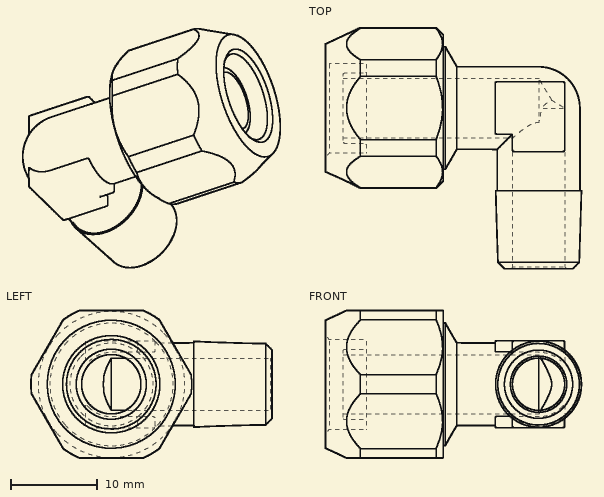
import cadquery as cq
import math


tube_radius = 4.77
pad_reach = 5.0
pad_short_reach = 3.0
pad_rounding = 0.2
drill_point_angle = 118.0

across_flats = 17.0
nut_corner_radius = 9.25
nut_front_x = -24.5
nut_length = 13.55
nut_front_radius = 7.35
nut_front_taper_length = 4.03
nut_rear_radius = 8.42
nut_rear_x = nut_front_x + nut_length

collar_radius = 7.07
collar_width = 0.25
collar_taper_angle = 60.0

socket_radius = 5.15
socket_chamfer = 0.45
socket_depth = 4.7
stub_radius = 4.03
stub_recess = 1.97
stub_root_fillet = 0.3
stub_end_rounding = 0.25
nut_side_bore_radius = 3.42

thread_start_y = -9.48
thread_end_y = -18.5
thread_start_radius = 4.95
thread_taper = 1 / 32
thread_end_chamfer = 0.77
thread_side_bore_radius = 3.0
bore_mouth_chamfer = 0.25


def revolve_about_x(profile):
    """Turn a closed (x, radius) outline about the X axis."""
    return cq.Workplane("XY").polyline(profile).close().revolve(360, (0, 0, 0), (1, 0, 0))


def revolve_about_y(profile):
    """Turn a closed (radius, y) outline about the Y axis."""
    return cq.Workplane("XY").polyline(profile).close().revolve(360, (0, 0, 0), (0, 1, 0))


def make_elbow():
    """Two tubes meeting in a spherical outer corner, with a collar behind the nut."""
    collar_end_x = nut_rear_x + collar_width
    taper_length = (collar_radius - tube_radius) / math.tan(math.radians(collar_taper_angle))
    taper_end_x = collar_end_x + taper_length
    nut_arm = revolve_about_x([
        (nut_rear_x, 0),
        (nut_rear_x, collar_radius),
        (collar_end_x, collar_radius),
        (taper_end_x, tube_radius),
        (0, tube_radius),
        (0, 0),
    ])
    thread_arm = cq.Workplane("XZ").circle(tube_radius).extrude(-thread_start_y)
    corner = cq.Workplane("XY").sphere(tube_radius)
    return nut_arm.union(thread_arm).union(corner)


def make_pads():
    """L-shaped wrench block whose flats stand proud above and below the elbow."""
    outline = [
        (-pad_reach, pad_short_reach),
        (pad_short_reach, pad_short_reach),
        (pad_short_reach, -pad_reach),
        (-pad_short_reach, -pad_reach),
        (-pad_short_reach, -pad_short_reach),
        (-pad_reach, -pad_short_reach),
    ]
    block = cq.Workplane("XY").polyline(outline).close().extrude(pad_reach, both=True)
    return block.edges().fillet(pad_rounding)


def make_thread():
    """Tapered thread envelope with a 45 degree lead-in chamfer."""
    chamfer_y = thread_end_y + thread_end_chamfer
    chamfer_radius = thread_start_radius - thread_taper * (thread_start_y - chamfer_y)
    return revolve_about_y([
        (0, thread_start_y),
        (thread_start_radius, thread_start_y),
        (chamfer_radius, chamfer_y),
        (chamfer_radius - thread_end_chamfer, thread_end_y),
        (0, thread_end_y),
    ])


def make_nut():
    """Hexagon trimmed by a turned envelope that tapers at both ends."""
    corner_diameter = across_flats / math.cos(math.pi / 6)
    hexagon = (
        cq.Workplane("YZ", origin=(nut_front_x, 0, 0))
        .polygon(6, corner_diameter)
        .extrude(nut_length)
    )
    rear_chamfer = nut_corner_radius - nut_rear_radius
    envelope = revolve_about_x([
        (nut_front_x, 0),
        (nut_front_x, nut_front_radius),
        (nut_front_x + nut_front_taper_length, nut_corner_radius),
        (nut_rear_x - rear_chamfer, nut_corner_radius),
        (nut_rear_x, nut_rear_radius),
        (nut_rear_x, 0),
    ])
    return hexagon.intersect(envelope)


def make_socket():
    """Space to remove from the nut around the standing end of the body."""
    floor_x = nut_front_x + socket_depth
    stub_x = nut_front_x + stub_recess
    arc_ratio = 1 - math.sqrt(0.5)
    root_gap = stub_root_fillet * arc_ratio
    end_gap = stub_end_rounding * arc_ratio
    outline = (
        cq.Workplane("XY")
        .moveTo(nut_front_x, 0)
        .lineTo(nut_front_x, socket_radius + socket_chamfer)
        .lineTo(nut_front_x + socket_chamfer, socket_radius)
        .lineTo(floor_x, socket_radius)
        .lineTo(floor_x, stub_radius + stub_root_fillet)
        .threePointArc(
            (floor_x - root_gap, stub_radius + root_gap),
            (floor_x - stub_root_fillet, stub_radius),
        )
        .lineTo(stub_x + stub_end_rounding, stub_radius)
        .threePointArc(
            (stub_x + end_gap, stub_radius - end_gap),
            (stub_x, stub_radius - stub_end_rounding),
        )
        .lineTo(stub_x, 0)
        .close()
    )
    return outline.revolve(360, (0, 0, 0), (1, 0, 0))


def drill_point_length(radius):
    return radius / math.tan(math.radians(drill_point_angle / 2))


def make_bores():
    """Two drilled holes whose conical points overlap at the elbow corner."""
    nut_side = revolve_about_x([
        (nut_front_x, 0),
        (nut_front_x, nut_side_bore_radius),
        (0, nut_side_bore_radius),
        (drill_point_length(nut_side_bore_radius), 0),
    ])
    thread_side = revolve_about_y([
        (0, thread_end_y),
        (thread_side_bore_radius + bore_mouth_chamfer, thread_end_y),
        (thread_side_bore_radius, thread_end_y + bore_mouth_chamfer),
        (thread_side_bore_radius, 0),
        (0, drill_point_length(thread_side_bore_radius)),
    ])
    return nut_side.union(thread_side)


body = make_elbow().union(make_pads()).union(make_thread()).union(make_nut())
result = body.cut(make_socket()).cut(make_bores())